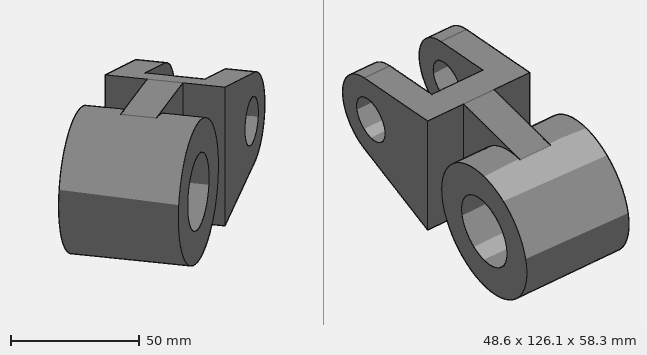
import cadquery as cq
import math

overall_length = 126.1
width = 48.6
barrel_diameter = 58.3
bore_diameter = 31.0
eye_radius = 19.4
pin_hole_diameter = 19.4
fork_length = 58.3
slot_width = 24.2
slot_depth = 43.6
web_thickness = 14.5

barrel_radius = barrel_diameter / 2
fork_tip_y = overall_length - barrel_radius
fork_base_y = fork_tip_y - fork_length
eye_y = fork_tip_y - eye_radius


def x_cylinder(diameter, y):
    """Cylinder along X over the full width, with its axis at the given Y."""
    return cq.Workplane("YZ").center(y, 0).circle(diameter / 2).extrude(width / 2, both=True)


def make_barrel():
    return x_cylinder(barrel_diameter, 0)


def make_web():
    """Full-height plate from the barrel axis to the fork base."""
    return cq.Workplane("XY").box(
        web_thickness, fork_base_y, barrel_diameter, centered=(True, False, True)
    )


def make_fork():
    """Flanks run from the base corners tangent to the rounded eye, then a slot splits it."""
    corner_run = eye_y - fork_base_y
    corner_distance = math.hypot(corner_run, barrel_radius)
    corner_angle = math.pi - math.atan2(barrel_radius, corner_run)
    tangent_angle = corner_angle - math.acos(eye_radius / corner_distance)
    tangent_y = eye_y + eye_radius * math.cos(tangent_angle)
    tangent_z = eye_radius * math.sin(tangent_angle)

    body = (
        cq.Workplane("YZ")
        .moveTo(fork_base_y, -barrel_radius)
        .lineTo(tangent_y, -tangent_z)
        .threePointArc((fork_tip_y, 0), (tangent_y, tangent_z))
        .lineTo(fork_base_y, barrel_radius)
        .close()
        .extrude(width / 2, both=True)
    )
    slot = (
        cq.Workplane("XY")
        .box(slot_width, slot_depth, barrel_diameter, centered=(True, False, True))
        .translate((0, fork_tip_y - slot_depth, 0))
    )
    return body.cut(slot)


result = (
    make_barrel()
    .union(make_web())
    .union(make_fork())
    .cut(x_cylinder(bore_diameter, 0))
    .cut(x_cylinder(pin_hole_diameter, eye_y))
)